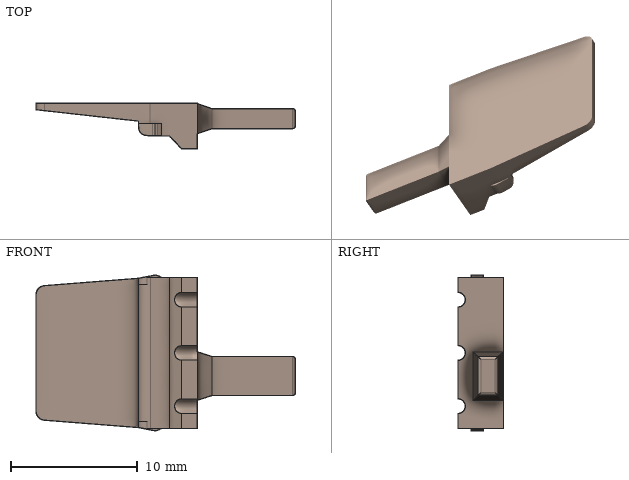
import cadquery as cq


tip_thickness = 0.53
tip_half_width = 5.25
tip_corner_radius = 0.74
root_x = 8.08
root_thickness = 1.43

block_start_x = 9.0
block_end_x = 12.72
block_width = 11.92
block_half_width = block_width / 2
lip_depth = 2.6
lip_radius = 0.95
foot_depth = 3.6
foot_slope_start_x = 10.51
foot_flat_x = 11.47

bump_span = 12.3
bump_half_span = bump_span / 2
bump_inner_z = 5.4
bump_back_depth = 1.6
bump_front_depth = 2.55
bump_corner_radius = 0.65
bump_peak_x = 9.39
bump_crown_half_length = 0.2
bump_crown_drop = 0.05
bump_end_x = 9.88

groove_radius = 0.57
groove_pitch = 4.2

stem_center_depth = 1.23
stem_center_z = -1.82
stem_thickness = 1.6
stem_width = 3.09
neck_base_thickness = 2.37
neck_base_width = 3.82
neck_end_x = 13.87
stem_end_x = 20.45
stem_tip_radius = 0.25

edge_slope = (block_half_width - tip_half_width) / block_start_x
root_half_width = tip_half_width + edge_slope * root_x


def extrude_depth(outline, near_depth, far_depth):
    """Extrude an XZ outline toward -Y between two depths below the back."""
    return outline.extrude(far_depth - near_depth).translate((0, -near_depth, 0))


def make_plate():
    """Blade and block: side profile trimmed to the tapered front outline."""
    profile = (
        cq.Workplane("XY")
        .moveTo(0, 0)
        .lineTo(block_end_x, 0)
        .lineTo(block_end_x, -foot_depth)
        .lineTo(foot_flat_x, -foot_depth)
        .lineTo(foot_slope_start_x, -lip_depth)
        .lineTo(root_x + lip_radius, -lip_depth)
        .radiusArc((root_x, -lip_depth + lip_radius), lip_radius)
        .lineTo(root_x, -root_thickness)
        .lineTo(0, -tip_thickness)
        .close()
        .extrude(block_half_width, both=True)
    )
    outline = cq.Workplane("XZ").polyline([
        (0, -tip_half_width),
        (block_start_x, -block_half_width),
        (block_end_x, -block_half_width),
        (block_end_x, block_half_width),
        (block_start_x, block_half_width),
        (0, tip_half_width),
    ]).close()
    envelope = extrude_depth(outline, 0, foot_depth)
    envelope = envelope.edges("|Y and <X").fillet(tip_corner_radius)
    return profile.intersect(envelope)


def make_bump():
    """Upper lip bump, with a shallow ridged crown and a rounded outer corner."""
    crown_start_x = bump_peak_x - bump_crown_half_length
    crown_end_x = bump_peak_x + bump_crown_half_length
    crown_edge_z = bump_half_span - bump_crown_drop
    outline = (
        cq.Workplane("XZ")
        .moveTo(root_x, bump_inner_z)
        .lineTo(root_x, root_half_width)
        .lineTo(crown_start_x, crown_edge_z)
        .lineTo(bump_peak_x, bump_half_span)
        .lineTo(crown_end_x, crown_edge_z)
        .lineTo(bump_end_x, block_half_width)
        .lineTo(bump_end_x, bump_inner_z)
        .close()
    )
    bump = extrude_depth(outline, bump_back_depth, bump_front_depth)
    corner = cq.selectors.NearestToPointSelector(
        (root_x, -bump_front_depth, (bump_inner_z + root_half_width) / 2)
    )
    return bump.edges("|Z").edges(corner).fillet(bump_corner_radius)


def make_stem():
    """Rectangular stem with a rounded tip, joined by a tapered neck."""
    base = cq.Workplane("YZ", origin=(block_end_x, -stem_center_depth, stem_center_z))
    neck_length = neck_end_x - block_end_x
    neck = (
        base.rect(neck_base_thickness, neck_base_width)
        .workplane(offset=neck_length)
        .rect(stem_thickness, stem_width)
        .loft(ruled=True)
    )
    shaft = (
        base.workplane(offset=neck_length)
        .rect(stem_thickness, stem_width)
        .extrude(stem_end_x - neck_end_x)
        .faces(">X")
        .edges()
        .fillet(stem_tip_radius)
    )
    return neck.union(shaft)


def make_grooves():
    """Three round grooves running along X in the bottom of the foot."""
    return (
        cq.Workplane("YZ", origin=(foot_slope_start_x, -foot_depth, 0))
        .pushPoints([(0, row * groove_pitch) for row in (-1, 0, 1)])
        .circle(groove_radius)
        .extrude(block_end_x - foot_slope_start_x)
    )


upper_bump = make_bump()
lower_bump = upper_bump.mirror("XY")
result = make_plate().cut(make_grooves()).union(upper_bump).union(lower_bump).union(make_stem())